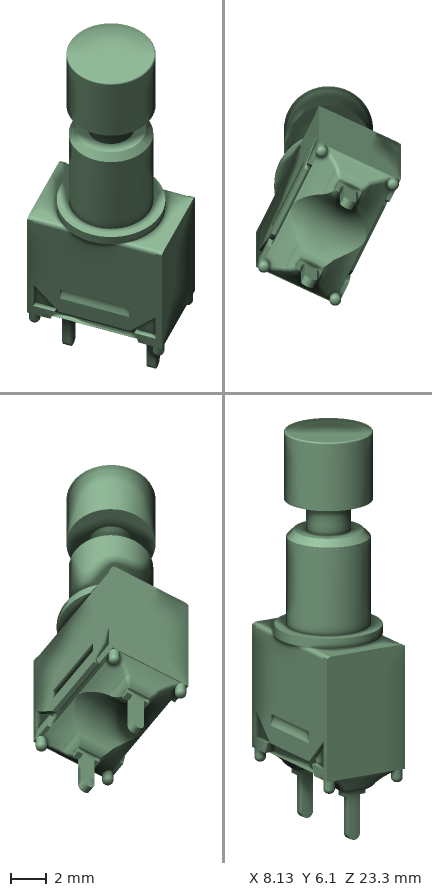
import cadquery as cq
import math

TOTAL_HEIGHT = 23.3

CAP_DIAMETER = 5.0
CAP_HEIGHT = 4.0
CAP_ROUNDING = 0.1
PLUNGER_DIAMETER = 2.55
BORE_DIAMETER = 2.6
BUSHING_DIAMETER = 4.75
BUSHING_TOP = 17.52
BUSHING_CHAMFER = 0.4
FLANGE_DIAMETER = 6.1
FLANGE_HEIGHT = 0.55

CASE_LENGTH = 8.13
CASE_WIDTH = 5.1
CASE_TOP = 11.42
CASE_BOTTOM = 4.1

SHEET_THICKNESS = 0.3
BEND_ROUNDING = 0.25
TOP_PLATE_THICKNESS = 0.1
LEG_WIDTH = 7.36
LEG_TIP_WIDTH = 4.25
LEG_BOTTOM = 4.82
LEG_CORNER_CUT = (LEG_WIDTH - LEG_TIP_WIDTH) / 2
WINDOW_WIDTH = 4.15
WINDOW_TOP = 6.57
WINDOW_BOTTOM = 5.73

LEG_RECESS_BOTTOM = 4.75
BARB_NOSE_TOP = 5.87
NOTCH_DEPTH = 0.58
NOTCH_TOP = 5.35
NOTCH_BOTTOM_WIDTH = 5.31
NOTCH_SIDE_ANGLE = 21.0
SEAL_TOP = 4.12
SEAL_SETBACK = 0.25
POST_DIAMETER = 0.65
POST_LENGTH = 0.8
POST_ROUNDING = 0.28

MOUND_BOTTOM = 2.91
MOUND_WAIST = 3.33
MOUND_LEVELS = (MOUND_BOTTOM, MOUND_WAIST, CASE_BOTTOM)
ARCH_RADIUS = 2.03
COVE_RADIUS = 3.26
BEND_RADIUS = 0.93
MOUND_FOOT_LENGTH = 0.8
MOUND_INNER_WAIST = 1.58
MOUND_OUTER_WAIST = 3.38
MOUND_OUTER_EDGE = 4.0
MOUND_FOOT_WIDTH = 1.45
MOUND_WAIST_WIDTH = 2.24
MOUND_EDGE_WIDTH = CASE_WIDTH - 2 * SEAL_SETBACK
MOUND_CORNER_RADIUS = 0.23

PIN_PITCH = 5.08
PIN_THICKNESS = 0.51
PIN_WIDTH = 0.75
SHOULDER_WIDTH = MOUND_FOOT_WIDTH
SHOULDER_BOTTOM = 2.63
PIN_TOP = 3.73

CAP_BOTTOM = TOTAL_HEIGHT - CAP_HEIGHT
PIN_X = PIN_PITCH / 2
SIDES = (-1, 1)


def cylinder(diameter, bottom, top):
    return cq.Workplane("XY").workplane(offset=bottom).circle(diameter / 2).extrude(top - bottom)


def block(length, width, bottom, top):
    return cq.Workplane("XY").workplane(offset=bottom).rect(length, width).extrude(top - bottom)


def make_button():
    cap = cylinder(CAP_DIAMETER, CAP_BOTTOM, TOTAL_HEIGHT).faces(">Z").edges().fillet(CAP_ROUNDING)
    plunger = cylinder(PLUNGER_DIAMETER, CASE_TOP, CAP_BOTTOM)
    return cap.union(plunger)


def make_bushing():
    barrel = cylinder(BUSHING_DIAMETER, CASE_TOP, BUSHING_TOP).faces(">Z").edges().chamfer(BUSHING_CHAMFER)
    flange = cylinder(FLANGE_DIAMETER, CASE_TOP, CASE_TOP + FLANGE_HEIGHT)
    return barrel.union(flange).cut(cylinder(BORE_DIAMETER, CASE_TOP, BUSHING_TOP))


def leg_outline():
    """Leg face in the XZ plane, with both lower corners cut at 45 degrees."""
    half_leg = LEG_WIDTH / 2
    half_tip = LEG_TIP_WIDTH / 2
    return cq.Workplane("XZ").polyline([
        (-half_leg, CASE_TOP),
        (-half_leg, LEG_BOTTOM + LEG_CORNER_CUT),
        (-half_tip, LEG_BOTTOM),
        (half_tip, LEG_BOTTOM),
        (half_leg, LEG_BOTTOM + LEG_CORNER_CUT),
        (half_leg, CASE_TOP),
    ]).close()


def make_bracket():
    outer = block(CASE_LENGTH, CASE_WIDTH, CASE_BOTTOM, CASE_TOP)
    outer = outer.faces(">Z").edges("|X").fillet(BEND_ROUNDING)
    legs = leg_outline().extrude(CASE_WIDTH / 2, both=True)
    legs = legs.cut(block(LEG_WIDTH, CASE_WIDTH - 2 * SHEET_THICKNESS, CASE_BOTTOM, CASE_TOP))
    legs = legs.cut(block(WINDOW_WIDTH, CASE_WIDTH, WINDOW_BOTTOM, WINDOW_TOP))
    top_plate = block(CASE_LENGTH, CASE_WIDTH, CASE_TOP - TOP_PLATE_THICKNESS, CASE_TOP)
    return legs.union(top_plate).intersect(outer)


def make_barbs():
    """Ramps that fill the bracket windows, rising to the leg faces near the bottom."""
    core = CASE_WIDTH / 2 - SHEET_THICKNESS
    face = CASE_WIDTH / 2
    outline = [
        (-core, WINDOW_BOTTOM),
        (-face, WINDOW_BOTTOM),
        (-face, BARB_NOSE_TOP),
        (-core, WINDOW_TOP),
        (core, WINDOW_TOP),
        (face, BARB_NOSE_TOP),
        (face, WINDOW_BOTTOM),
        (core, WINDOW_BOTTOM),
    ]
    return cq.Workplane("YZ").polyline(outline).close().extrude(WINDOW_WIDTH / 2, both=True)


def make_notches():
    """Dovetail notches in the bottom rails, wider at the bottom."""
    half_bottom = NOTCH_BOTTOM_WIDTH / 2
    half_top = half_bottom - (NOTCH_TOP - CASE_BOTTOM) * math.tan(math.radians(NOTCH_SIDE_ANGLE))
    wedge = cq.Workplane("XZ").polyline([
        (-half_bottom, CASE_BOTTOM),
        (half_bottom, CASE_BOTTOM),
        (half_top, NOTCH_TOP),
        (-half_top, NOTCH_TOP),
    ]).close().extrude(CASE_WIDTH / 2, both=True)
    core = block(CASE_LENGTH, CASE_WIDTH - 2 * NOTCH_DEPTH, CASE_BOTTOM, NOTCH_TOP)
    seal = block(CASE_LENGTH, CASE_WIDTH - 2 * SEAL_SETBACK, CASE_BOTTOM, SEAL_TOP)
    return wedge.cut(core).cut(seal)


def arc_middle(start, end, radius):
    """Middle of the arc from start to end; it bulges left of the way for a positive radius, else right."""
    dx = end[0] - start[0]
    dz = end[1] - start[1]
    chord = math.hypot(dx, dz)
    rise = math.copysign(abs(radius) - math.sqrt(radius**2 - (chord / 2)**2), radius)
    return ((start[0] + end[0]) / 2 - rise * dz / chord, (start[1] + end[1]) / 2 + rise * dx / chord)


def mound_section(plane, left, right, left_radius):
    """Mound outline: a flat foot and, on each side, a convex bend up to the waist and a concave cove.

    Each side gives its foot, waist and edge positions along the plane. The left cove has its own radius.
    """
    left_foot, left_waist, left_edge = zip(left, MOUND_LEVELS)
    right_foot, right_waist, right_edge = zip(right, MOUND_LEVELS)
    return (
        cq.Workplane(plane)
        .moveTo(left[-1], SEAL_TOP)
        .lineTo(*left_edge)
        .threePointArc(arc_middle(left_edge, left_waist, left_radius), left_waist)
        .threePointArc(arc_middle(left_waist, left_foot, -BEND_RADIUS), left_foot)
        .lineTo(*right_foot)
        .threePointArc(arc_middle(right_foot, right_waist, -BEND_RADIUS), right_waist)
        .threePointArc(arc_middle(right_waist, right_edge, COVE_RADIUS), right_edge)
        .lineTo(right[-1], SEAL_TOP)
        .close()
    )


def make_mound():
    """Mound around the pin at +X: a lengthwise and a crosswise section, intersected, with rounded corners."""
    inner = (PIN_X - MOUND_FOOT_LENGTH / 2, MOUND_INNER_WAIST, 0)
    outer = (PIN_X + MOUND_FOOT_LENGTH / 2, MOUND_OUTER_WAIST, MOUND_OUTER_EDGE)
    lengthwise = mound_section("XZ", inner, outer, ARCH_RADIUS).extrude(MOUND_EDGE_WIDTH / 2, both=True)
    side = (MOUND_FOOT_WIDTH / 2, MOUND_WAIST_WIDTH / 2, MOUND_EDGE_WIDTH / 2)
    crosswise = mound_section("YZ", [-y for y in side], side, COVE_RADIUS).extrude(CASE_LENGTH / 2)
    mound = lengthwise.intersect(crosswise)
    outer_corners = mound.edges("%BSPLINE").filter(lambda edge: edge.Center().x > PIN_X)
    return outer_corners.fillet(MOUND_CORNER_RADIUS)


def make_posts():
    x = (CASE_LENGTH - POST_DIAMETER) / 2
    y = (CASE_WIDTH - POST_DIAMETER) / 2
    post = cylinder(POST_DIAMETER, CASE_BOTTOM - POST_LENGTH, CASE_BOTTOM)
    post = post.faces("<Z").edges().fillet(POST_ROUNDING)
    return [post.translate((sx * x, sy * y, 0)) for sx in SIDES for sy in SIDES]


def make_pin(x):
    """Flat pin with a round tip and a wider shoulder under the mound, its root set into the housing."""
    tip_radius = PIN_WIDTH / 2
    blade = (
        cq.Workplane("YZ")
        .moveTo(-tip_radius, PIN_TOP)
        .lineTo(-tip_radius, tip_radius)
        .threePointArc((0, 0), (tip_radius, tip_radius))
        .lineTo(tip_radius, PIN_TOP)
        .close()
        .extrude(PIN_THICKNESS / 2, both=True)
    )
    shoulder = block(PIN_THICKNESS, SHOULDER_WIDTH, SHOULDER_BOTTOM, MOUND_BOTTOM)
    return blade.union(shoulder).translate((x, 0, 0))


def make_housing(bracket, pins):
    """Solid case core with end walls, leg recesses, barbs, notches, mounds and posts."""
    housing = block(CASE_LENGTH, CASE_WIDTH, CASE_BOTTOM, CASE_TOP - TOP_PLATE_THICKNESS)
    recess = block(LEG_WIDTH, CASE_WIDTH, LEG_RECESS_BOTTOM, CASE_TOP)
    recess = recess.cut(block(LEG_WIDTH, CASE_WIDTH - 2 * SHEET_THICKNESS, LEG_RECESS_BOTTOM, CASE_TOP))
    housing = housing.cut(recess).union(make_barbs()).cut(make_notches())
    mound = make_mound()
    for addition in [mound, mound.mirror("YZ"), *make_posts()]:
        housing = housing.union(addition)
    for inserted in [bracket, *pins]:
        housing = housing.cut(inserted)
    return housing


button = make_button()
bushing = make_bushing()
bracket = make_bracket()
pins = [make_pin(side * PIN_X) for side in SIDES]
housing = make_housing(bracket, pins)

result = cq.Compound.makeCompound([
    button.val(),
    bushing.val(),
    bracket.val(),
    housing.val(),
    *[pin.val() for pin in pins],
])